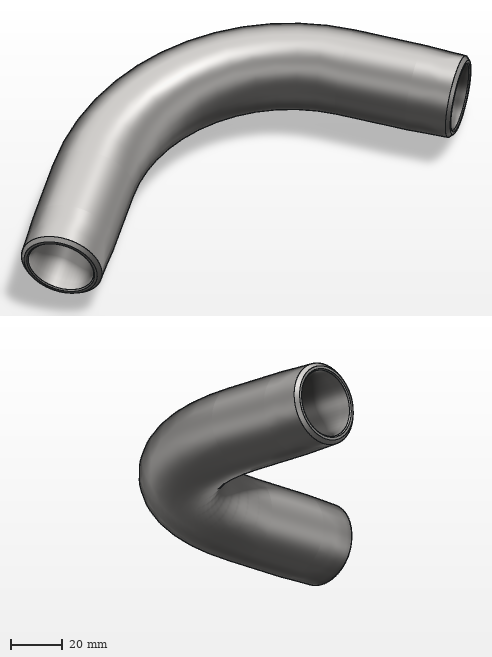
import cadquery as cq

outer_diameter = 33.7
wall_thickness = 3.6
bend_radius = 80.0
centre_to_end = 126.0
thread_length = 17.5
thread_taper = 1 / 16
end_chamfer = 1.5
bore_chamfer = 0.5

outer_radius = outer_diameter / 2
inner_radius = outer_radius - wall_thickness
leg_length = centre_to_end - bend_radius
plain_length = leg_length - thread_length
chamfer_start = leg_length - end_chamfer
chamfer_start_radius = outer_radius - (thread_length - end_chamfer) * thread_taper / 2


def pipe_bend():
    """Quarter-turn tube from the -Y leg to the +X leg, with the leg axes crossing at the origin."""
    return (
        cq.Workplane("XZ", origin=(0, -bend_radius, 0))
        .circle(outer_radius)
        .circle(inner_radius)
        .revolve(90, (bend_radius, 0, 0), (bend_radius, -1, 0))
    )


def pipe_leg():
    """Straight leg from the origin along +X: plain pipe, then a tapered zone with a chamfered end."""
    profile = [
        (0, inner_radius),
        (0, outer_radius),
        (plain_length, outer_radius),
        (chamfer_start, chamfer_start_radius),
        (leg_length, chamfer_start_radius - end_chamfer),
        (leg_length, inner_radius + bore_chamfer),
        (leg_length - bore_chamfer, inner_radius),
    ]
    return (
        cq.Workplane("XZ")
        .polyline(profile)
        .close()
        .revolve(360, (0, 0, 0), (1, 0, 0))
    )


leg_along_x = pipe_leg().translate((bend_radius, 0, 0))
leg_along_y = leg_along_x.rotate((0, 0, 0), (0, 0, 1), -90)

result = pipe_bend().union(leg_along_x).union(leg_along_y)